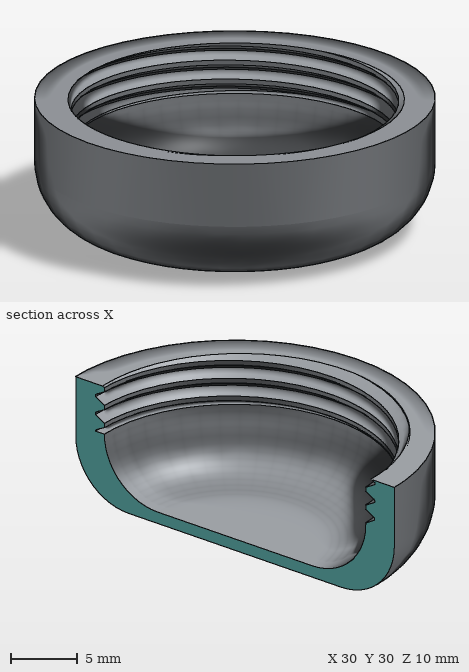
import cadquery as cq
import math

outer_diameter = 30.0
height = 10.0
floor_thickness = 1.0
edge_radius = 5.0

minor_diameter = 24.53
major_diameter = 26.21
pitch = 1.5
flank_angle = 30.0
crest_width = pitch / 4
root_height_at_rim = 0.1
bore_overlap = 0.2

outer_radius = outer_diameter / 2
minor_radius = minor_diameter / 2
major_radius = major_diameter / 2
thread_base = floor_thickness + edge_radius
thread_length = height - thread_base


def make_bowl():
    """Unthreaded lower part: rounded outside, rounded cavity of the same radius."""
    body = cq.Workplane("XY").circle(outer_radius).extrude(thread_base)
    body = body.faces("<Z").edges().fillet(edge_radius)
    cavity = (
        cq.Workplane("XY")
        .workplane(offset=floor_thickness)
        .circle(minor_radius)
        .extrude(height - floor_thickness)
        .faces("<Z")
        .edges()
        .fillet(edge_radius)
    )
    return body.cut(cavity)


def make_thread_groove():
    """Helical trapezoidal cutter that runs out past both ends of the threaded wall."""

    def half_width(radius):
        """Half the groove width at a radius; the flanks narrow it outwards."""
        taper = math.tan(math.radians(flank_angle))
        return (pitch - crest_width) / 2 - (radius - minor_radius) * taper

    inner_radius = minor_radius - bore_overlap
    inner_half_width = half_width(inner_radius)
    root_half_width = half_width(major_radius)

    turns_below_rim = math.ceil(thread_length / pitch) + 1
    turns = turns_below_rim + 1
    start_height = height + root_height_at_rim - turns_below_rim * pitch

    helix = cq.Wire.makeHelix(pitch, turns * pitch, minor_radius)
    profile = (
        cq.Workplane("XZ")
        .moveTo(inner_radius, -inner_half_width)
        .lineTo(major_radius, -root_half_width)
        .lineTo(major_radius, root_half_width)
        .lineTo(inner_radius, inner_half_width)
        .close()
    )
    groove = profile.sweep(cq.Workplane(helix), isFrenet=True)
    return groove.translate((0, 0, start_height))


def make_threaded_wall():
    """Straight upper wall with the thread open at the rim and flat-ended at its base."""
    disc = cq.Workplane("XY").workplane(offset=thread_base).circle(outer_radius).extrude(thread_length)
    bore = cq.Workplane("XY").workplane(offset=thread_base).circle(minor_radius).extrude(thread_length)
    return disc.cut(make_thread_groove()).cut(bore)


result = make_bowl().union(make_threaded_wall())